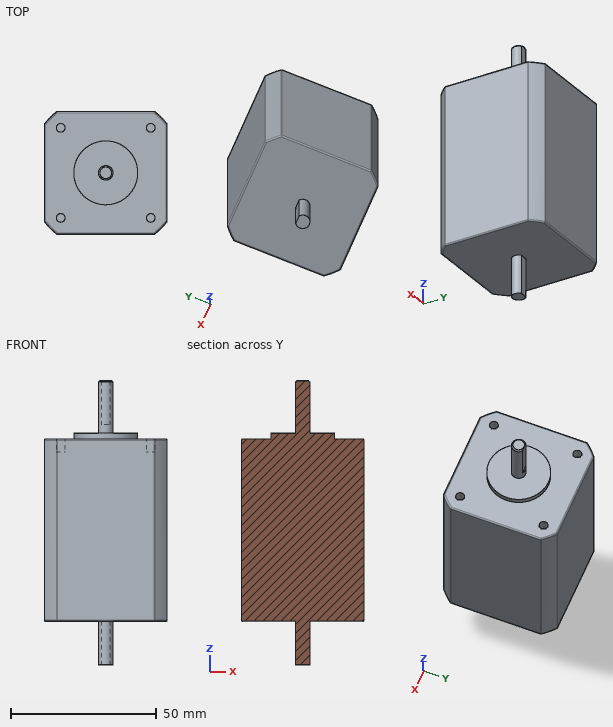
import cadquery as cq

body_width = 42.3
body_length = 62.8
corner_radius = 27.0
corner_edge_fillet = 0.5
end_fillet = 0.5

boss_diameter = 22.0
boss_height = 2.0

hole_spacing = 31.0
hole_diameter = 3.0
hole_depth = 4.5

shaft_diameter = 5.0
front_shaft_length = 20.0
rear_shaft_length = 15.0
front_flat_length = 15.0
shaft_across_flat = 4.5
shaft_tip_chamfer = 0.5

front_face_z = body_length
shaft_tip_z = front_face_z + front_shaft_length
flat_y = shaft_across_flat - shaft_diameter / 2


def make_body():
    """Square block with turned corners, rounded vertical edges and rounded end edges."""
    block = cq.Workplane("XY").rect(body_width, body_width).extrude(body_length)
    turned = cq.Workplane("XY").circle(corner_radius).extrude(body_length)
    rounded = block.intersect(turned).edges("|Z").fillet(corner_edge_fillet)
    return rounded.faces("<Z or >Z").edges().fillet(end_fillet)


def make_boss():
    """Round pilot boss standing on the front face."""
    return (
        cq.Workplane("XY", origin=(0, 0, front_face_z))
        .circle(boss_diameter / 2)
        .extrude(boss_height)
    )


def make_flat_cutter(bottom_z, length):
    """Box that removes the +Y side of the shaft down to the flat."""
    return (
        cq.Workplane("XY", origin=(0, flat_y, bottom_z))
        .box(shaft_diameter, shaft_diameter, length, centered=(True, False, False))
    )


def make_shaft():
    """Through shaft with a chamfered front tip and a flat on each end."""
    shaft = (
        cq.Workplane("XY", origin=(0, 0, -rear_shaft_length))
        .circle(shaft_diameter / 2)
        .extrude(rear_shaft_length + shaft_tip_z)
        .faces(">Z")
        .chamfer(shaft_tip_chamfer)
    )
    front_flat = make_flat_cutter(shaft_tip_z - front_flat_length, front_flat_length)
    rear_flat = make_flat_cutter(-rear_shaft_length, rear_shaft_length)
    return shaft.cut(front_flat).cut(rear_flat)


def make_mounting_holes():
    """Four blind holes on a square pattern, opening at the front face."""
    return (
        cq.Workplane("XY", origin=(0, 0, front_face_z))
        .rect(hole_spacing, hole_spacing, forConstruction=True)
        .vertices()
        .circle(hole_diameter / 2)
        .extrude(-hole_depth)
    )


result = make_body().cut(make_mounting_holes()).union(make_boss()).union(make_shaft())